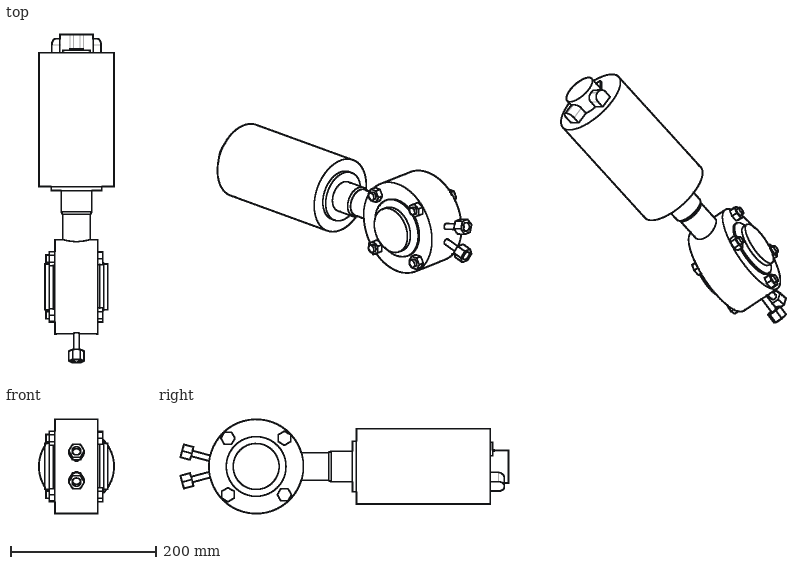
import cadquery as cq
import math


BODY_RADIUS = 65.0
BODY_WIDTH = 59.0
BODY_HALF_WIDTH = BODY_WIDTH / 2
COLLAR_RADIUS = 41.0
COLLAR_HALF_WIDTH = 32.0
RIM_RADIUS = 31.5
RIM_INNER_X = 37.5
RIM_HALF_WIDTH = 43.5

BOLT_OFFSET = 39.0
HEX_CORNERS = 19.5
NUT_THICKNESS = 8.0
HEAD_THICKNESS = 7.0
STUD_DIAMETER = 10.5
STUD_PROJECTION = 4.3

NECK_RADIUS = 19.0
NECK_RELIEF_RADIUS = 19.5
SLEEVE_RADIUS = 21.2
FLANGE_RADIUS = 35.0
CYLINDER_RADIUS = 52.0
CAP_DIAMETER = 45.5
CAP_RADIUS = CAP_DIAMETER / 2
SLEEVE_CHAMFER_Y = 100.0
SLEEVE_Y = 103.5
FLANGE_Y = 132.5
CYLINDER_Y = 138.0
CYLINDER_END_Y = 322.0
CAP_END_Y = 347.5

FACET_START_Y = 327.5
FACET_INNER_HALF_WIDTH = 4.5
FACET_OUTER_HALF_WIDTH = 9.0

LUG_REACH = 39.0
LUG_WIDTH = 18.5
LUG_HEIGHT = 19.5
LUG_ROUND = 8.5
LUG_ANGLE = 45
PLATE_WIDTH = 38.0
PLATE_TOP = 33.5
PLATE_BOTTOM = 15.0
PLATE_THICKNESS = 3.0

PIPE_TILT = 15
PIPE_DIAMETER = 8.0
PIPE_AXIS_Y = -21.5
PIPE_LENGTH = 83.0
PIPE_NUT_FLATS = 18.5
PIPE_NUT_LENGTH = 14.0
PIPE_BORE_DIAMETER = 11.7
PIPE_BORE_DEPTH = 10.5


def make_body():
    """Body with a collar, a cone and a rim on both faces, turned about X."""
    profile = [
        (BODY_HALF_WIDTH, BODY_RADIUS),
        (BODY_HALF_WIDTH, COLLAR_RADIUS),
        (COLLAR_HALF_WIDTH, COLLAR_RADIUS),
        (RIM_INNER_X, RIM_RADIUS),
        (RIM_HALF_WIDTH, RIM_RADIUS),
        (RIM_HALF_WIDTH, 0),
    ]
    mirrored = [(-x, radius) for x, radius in reversed(profile)]
    return cq.Workplane("XY").polyline(profile + mirrored).close().revolve(360, (0, 0, 0), (1, 0, 0))


def make_bolts():
    """Four bolts along X, each turned with its place on the circle; heads sit at 90 degrees to nuts."""
    stud_length = BODY_HALF_WIDTH + NUT_THICKNESS + STUD_PROJECTION
    nut = cq.Workplane("YZ").polygon(6, HEX_CORNERS).extrude(-BODY_HALF_WIDTH - NUT_THICKNESS)
    head = cq.Workplane("YZ").polygon(6, HEX_CORNERS).extrude(BODY_HALF_WIDTH + HEAD_THICKNESS)
    head = head.rotate((0, 0, 0), (1, 0, 0), 90)
    stud = cq.Workplane("YZ").circle(STUD_DIAMETER / 2).extrude(-stud_length)
    bolt = nut.union(head).union(stud).translate((0, BOLT_OFFSET, BOLT_OFFSET))
    bolts = bolt
    for quarter in range(1, 4):
        bolts = bolts.union(bolt.rotate((0, 0, 0), (1, 0, 0), 90 * quarter))
    return bolts


def make_actuator():
    """Neck, sleeve, flange, cylinder and cap turned about Y."""
    profile = [
        (0, 0),
        (NECK_RADIUS, 0),
        (NECK_RADIUS, SLEEVE_CHAMFER_Y),
        (NECK_RELIEF_RADIUS, SLEEVE_CHAMFER_Y),
        (SLEEVE_RADIUS, SLEEVE_Y),
        (SLEEVE_RADIUS, FLANGE_Y),
        (FLANGE_RADIUS, FLANGE_Y),
        (FLANGE_RADIUS, CYLINDER_Y),
        (CYLINDER_RADIUS, CYLINDER_Y),
        (CYLINDER_RADIUS, CYLINDER_END_Y),
        (CAP_RADIUS, CYLINDER_END_Y),
        (CAP_RADIUS, CAP_END_Y),
        (0, CAP_END_Y),
    ]
    return cq.Workplane("XY").polyline(profile).close().revolve(360, (0, 0, 0), (0, 1, 0))


def make_facet_cut():
    """Material above the three flat facets that run along the top of the cap."""
    inner_z = math.sqrt(CAP_RADIUS**2 - FACET_INNER_HALF_WIDTH**2)
    outer_z = math.sqrt(CAP_RADIUS**2 - FACET_OUTER_HALF_WIDTH**2)
    clear_z = CAP_DIAMETER
    outline = [
        (-FACET_OUTER_HALF_WIDTH, clear_z),
        (-FACET_OUTER_HALF_WIDTH, outer_z),
        (-FACET_INNER_HALF_WIDTH, inner_z),
        (FACET_INNER_HALF_WIDTH, inner_z),
        (FACET_OUTER_HALF_WIDTH, outer_z),
        (FACET_OUTER_HALF_WIDTH, clear_z),
    ]
    plane = cq.Workplane("XZ", origin=(0, FACET_START_Y, 0))
    return plane.polyline(outline).close().extrude(FACET_START_Y - CAP_END_Y)


def make_lug(angle):
    """Radial lug with its two long rear edges rounded, turned about Y from +X."""
    lug = (
        cq.Workplane("XY", origin=(0, CYLINDER_END_Y, 0))
        .box(LUG_REACH, LUG_HEIGHT, LUG_WIDTH, centered=(False, False, True))
        .faces(">Y")
        .edges("|X")
        .fillet(LUG_ROUND)
    )
    return lug.rotate((0, 0, 0), (0, 1, 0), angle)


def make_plate():
    """Thin plate on the rear face, standing up from the cap."""
    return cq.Workplane("XY", origin=(0, CYLINDER_END_Y, PLATE_BOTTOM)).box(
        PLATE_WIDTH, PLATE_THICKNESS, PLATE_TOP - PLATE_BOTTOM, centered=(True, False, False)
    )


def make_pipe(tilt):
    """Drain pipe along -Y with a bored end nut, tilted about X."""
    nut_start = PIPE_LENGTH - PIPE_NUT_LENGTH
    bore_start = PIPE_LENGTH - PIPE_BORE_DEPTH
    nut_corners = PIPE_NUT_FLATS / math.cos(math.radians(30))
    pipe = cq.Workplane("XZ").circle(PIPE_DIAMETER / 2).extrude(nut_start)
    nut = cq.Workplane("XZ", origin=(0, -nut_start, 0)).polygon(6, nut_corners).extrude(PIPE_NUT_LENGTH)
    bore_plane = cq.Workplane("XZ", origin=(0, -bore_start, 0))
    bore = bore_plane.circle(PIPE_BORE_DIAMETER / 2).extrude(PIPE_BORE_DEPTH)
    fitting = pipe.union(nut).cut(bore)
    return fitting.rotate((0, 0, 0), (1, 0, 0), tilt).translate((0, PIPE_AXIS_Y, 0))


result = make_body().union(make_bolts()).union(make_actuator().cut(make_facet_cut()))
for lug_angle in (LUG_ANGLE, 180 - LUG_ANGLE):
    result = result.union(make_lug(lug_angle))
result = result.union(make_plate())
for pipe_tilt in (-PIPE_TILT, PIPE_TILT):
    result = result.union(make_pipe(pipe_tilt))